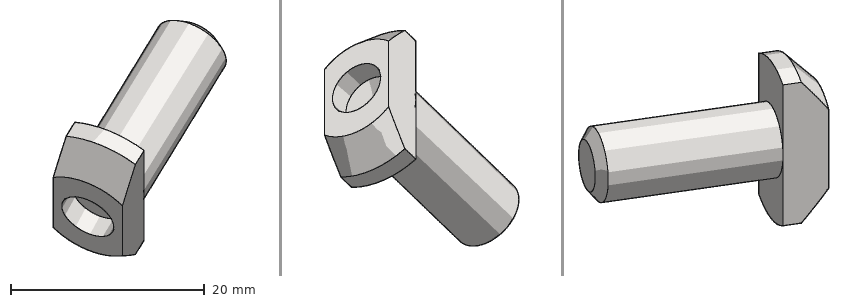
import cadquery as cq

total_length = 25.0
shank_diameter = 8.0
head_diameter = 18.0
head_thickness = 5.0
head_chamfer = 3.0
tip_chamfer_length = 1.0
tip_chamfer_depth = 1.25
recess_diameter = 6.0
recess_depth = 2.5
recess_point_depth = 1.0

shank_radius = shank_diameter / 2
head_radius = head_diameter / 2
recess_radius = recess_diameter / 2
shank_length = total_length - head_thickness
face_y = -head_thickness


def revolve_about_y(profile):
    """Revolve a closed (radius, y) outline about the bolt axis."""
    outline = cq.Workplane("XY").polyline(profile).close()
    return outline.revolve(360, (0, 0, 0), (0, 1, 0))


def make_head():
    """Round head with a bevelled face, cut by two flats to the shank width."""
    disc = revolve_about_y([
        (0, face_y),
        (head_radius - head_chamfer, face_y),
        (head_radius, face_y + head_chamfer),
        (head_radius, 0),
        (0, 0),
    ])
    flats = cq.Workplane("XY").box(shank_diameter, 2 * head_thickness, head_diameter)
    return disc.intersect(flats)


def make_shank():
    """Plain shank with a bevelled tip."""
    return revolve_about_y([
        (0, 0),
        (shank_radius, 0),
        (shank_radius, shank_length - tip_chamfer_length),
        (shank_radius - tip_chamfer_depth, shank_length),
        (0, shank_length),
    ])


def make_recess():
    """Blind drilled hole with a conical bottom, entering from the head face."""
    wall_end_y = face_y + recess_depth
    return revolve_about_y([
        (0, face_y),
        (recess_radius, face_y),
        (recess_radius, wall_end_y),
        (0, wall_end_y + recess_point_depth),
    ])


result = make_head().union(make_shank()).cut(make_recess())